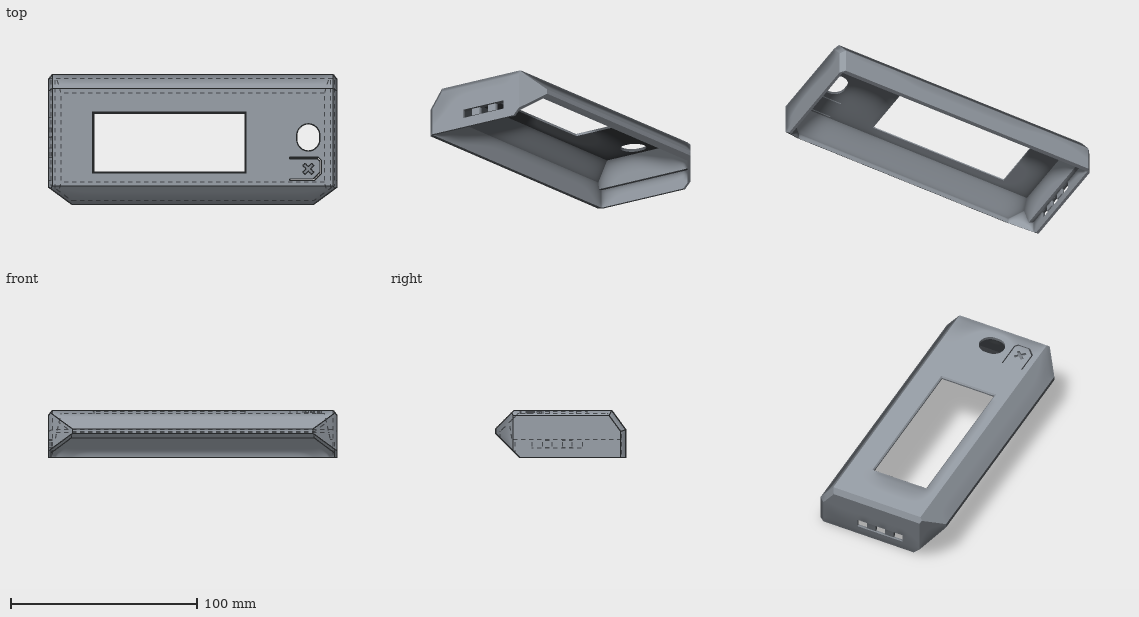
import cadquery as cq
import math

LENGTH = 155.0
DEPTH = 69.9
HEIGHT = 25.4

TOP_WALL = 1.5
END_WALL = 1.5
NOSE_WALL = 2.3

NOSE_UPPER_SLOPE = 9.9
NOSE_EDGE_HEIGHT = 2.5
NOSE_TOP_Z = HEIGHT - NOSE_UPPER_SLOPE
NOSE_LOW_Z = NOSE_TOP_Z - NOSE_EDGE_HEIGHT
BACK_SLOPE_RUN = 7.6
BACK_SLOPE_DROP = 10.4

NOSE_CORNER_X = 12.9
NOSE_CORNER_Y = 9.5
END_BEVEL_X = 2.2
END_BEVEL_INSET = 2.8
BEVEL_ANGLE = math.degrees(math.atan2(END_BEVEL_INSET, END_BEVEL_X))

CAVITY_CORNER_X = 10.8
CAVITY_CORNER_Y = 8.0
LEDGE_Z = 9.9
LEDGE_WIDTH = 2.2
LEAN_RUN = 3.1

MARGIN = 15.5

WINDOW_LENGTH = 81.0
WINDOW_DEPTH = 31.3
WINDOW_CENTER = (65.0, 33.3)
WINDOW_BEVEL = 0.7

CONTROL_X = 139.5
OPENING_Y = 36.1
OPENING_WIDTH = 12.2
OPENING_DEPTH = 14.4

KEY_Y = 19.2
KEY_WIDTH = 11.6
KEY_ROOT_X = 129.6
KEY_TIP_X = 146.2
KEY_BACK_CORNER = 1.5
KEY_NOSE_CORNER = 3.7
SLIT_WIDTH = 0.6

CROSS_SPAN = 6.7
CROSS_ARM_WIDTH = 1.7
CROSS_DEPTH = 1.1

PORT_Y = 33.2
PORT_Z = 7.5
PORT_WIDTH = 27.1
PORT_HEIGHT = 4.6
BLOCK_COUNT = 2
BLOCK_WIDTH = 5.1
BLOCK_CLEARANCE = 0.5
BLOCK_RECESS = 0.5
BLOCK_THICKNESS = END_WALL
BLOCK_PITCH = (PORT_WIDTH + BLOCK_WIDTH) / (BLOCK_COUNT + 1)


def end_profile(nose_points, back_y=DEPTH, top_z=HEIGHT):
    """Side profile from the nose over the top to the back, as a YZ sketch at X = 0."""
    back_points = [
        (back_y - BACK_SLOPE_RUN, top_z),
        (back_y, top_z - BACK_SLOPE_DROP),
        (back_y, -MARGIN),
    ]
    return cq.Workplane("YZ").polyline(nose_points + back_points).close()


def side_prism(nose_inset=0, top_inset=0):
    """Full-length prism of the side profile; the back moves in as far as the nose does."""
    top_z = HEIGHT - top_inset
    nose = [
        (nose_inset, -MARGIN),
        (nose_inset, top_z - NOSE_UPPER_SLOPE),
        (nose_inset + NOSE_UPPER_SLOPE, top_z),
    ]
    return end_profile(nose, DEPTH - nose_inset, top_z).extrude(LENGTH)


def plan_prism(corner_x, corner_y, end_inset=0, nose_inset=0):
    """Outline seen from above, with both nose corners cut off."""
    left = end_inset
    right = LENGTH - end_inset
    front = nose_inset
    return (
        cq.Workplane("XY", origin=(0, 0, -MARGIN))
        .moveTo(left, DEPTH)
        .lineTo(left, front + corner_y)
        .lineTo(left + corner_x, front)
        .lineTo(right - corner_x, front)
        .lineTo(right, front + corner_y)
        .lineTo(right, DEPTH)
        .close()
        .extrude(MARGIN + HEIGHT)
    )


def bevelled_block():
    """Block with the top, back slope and back bevelled at both ends, and an oversize nose."""
    nose = [(-MARGIN, -MARGIN), (-MARGIN, HEIGHT)]
    half_length = LENGTH / 2
    straight = end_profile(nose).extrude(half_length - END_BEVEL_X)
    cap = end_profile(nose).extrude(END_BEVEL_X, taper=BEVEL_ANGLE)
    half = straight.union(cap.translate((half_length - END_BEVEL_X, 0, 0)))
    return half.union(half.mirror("YZ")).translate((half_length, 0, 0))


def leaning_ends_prism():
    """Lengthwise section of the cavity, stepped in at the ledges and narrowing toward the top wall."""
    top_z = HEIGHT - TOP_WALL
    left = END_WALL
    right = LENGTH - END_WALL
    left_ledge = left + LEDGE_WIDTH
    right_ledge = right - LEDGE_WIDTH
    return (
        cq.Workplane("XZ")
        .moveTo(left, -MARGIN)
        .lineTo(left, LEDGE_Z)
        .lineTo(left_ledge, LEDGE_Z)
        .lineTo(left_ledge + LEAN_RUN, top_z)
        .lineTo(right_ledge - LEAN_RUN, top_z)
        .lineTo(right_ledge, LEDGE_Z)
        .lineTo(right, LEDGE_Z)
        .lineTo(right, -MARGIN)
        .close()
        .extrude(-DEPTH)
    )


def underside_trim():
    """Everything below the slanted underside of the nose and below the base plane."""
    return (
        cq.Workplane("YZ", origin=(-MARGIN, 0, 0))
        .moveTo(-MARGIN, NOSE_LOW_Z + MARGIN)
        .lineTo(NOSE_LOW_Z, 0)
        .lineTo(DEPTH + MARGIN, 0)
        .lineTo(DEPTH + MARGIN, -2 * MARGIN)
        .lineTo(-MARGIN, -2 * MARGIN)
        .close()
        .extrude(LENGTH + 2 * MARGIN)
    )


def shell_body():
    outer = side_prism().intersect(plan_prism(NOSE_CORNER_X, NOSE_CORNER_Y)).intersect(bevelled_block())
    cavity = (
        side_prism(NOSE_WALL, TOP_WALL)
        .intersect(plan_prism(CAVITY_CORNER_X, CAVITY_CORNER_Y, END_WALL, NOSE_WALL))
        .intersect(leaning_ends_prism())
    )
    return outer.cut(cavity).cut(underside_trim())


def top_plane(x, y):
    return cq.Workplane("XY", origin=(x, y, HEIGHT))


def window_cut():
    opening = top_plane(*WINDOW_CENTER).rect(WINDOW_LENGTH, WINDOW_DEPTH).extrude(-2 * TOP_WALL)
    rim = (
        top_plane(*WINDOW_CENTER)
        .rect(WINDOW_LENGTH + 2 * WINDOW_BEVEL, WINDOW_DEPTH + 2 * WINDOW_BEVEL)
        .extrude(-WINDOW_BEVEL, taper=45)
    )
    return opening.union(rim)


def control_opening_cut():
    return top_plane(CONTROL_X, OPENING_Y).slot2D(OPENING_DEPTH, OPENING_WIDTH, 90).extrude(-2 * TOP_WALL)


def key_outline(inset):
    """Prism of the tongue outline through the top wall, its three free sides moved inward by inset."""
    tip = KEY_TIP_X - inset
    back = KEY_Y + KEY_WIDTH / 2 - inset
    front = KEY_Y - KEY_WIDTH / 2 + inset
    return (
        top_plane(0, 0)
        .moveTo(KEY_ROOT_X, back)
        .lineTo(tip - KEY_BACK_CORNER, back)
        .lineTo(tip, back - KEY_BACK_CORNER)
        .lineTo(tip, front + KEY_NOSE_CORNER)
        .lineTo(tip - KEY_NOSE_CORNER, front)
        .lineTo(KEY_ROOT_X, front)
        .close()
        .extrude(-2 * TOP_WALL)
    )


def key_slit_cut():
    return key_outline(-SLIT_WIDTH / 2).cut(key_outline(SLIT_WIDTH / 2))


def cross_cut():
    plane = top_plane(CONTROL_X, KEY_Y).transformed(rotate=(0, 0, 45))
    arm = plane.rect(CROSS_SPAN, CROSS_ARM_WIDTH).extrude(-CROSS_DEPTH)
    return arm.union(plane.rect(CROSS_ARM_WIDTH, CROSS_SPAN).extrude(-CROSS_DEPTH))


def port_cut():
    return cq.Workplane("YZ", origin=(0, PORT_Y, PORT_Z)).rect(PORT_WIDTH, PORT_HEIGHT).extrude(2 * END_WALL)


def make_housing():
    housing = shell_body()
    for cutter in (window_cut(), control_opening_cut(), key_slit_cut(), cross_cut(), port_cut()):
        housing = housing.cut(cutter)
    return housing


def make_port_block(index):
    y = PORT_Y + (index - (BLOCK_COUNT - 1) / 2) * BLOCK_PITCH
    return (
        cq.Workplane("YZ", origin=(BLOCK_RECESS, y, PORT_Z))
        .rect(BLOCK_WIDTH, PORT_HEIGHT - 2 * BLOCK_CLEARANCE)
        .extrude(BLOCK_THICKNESS)
    )


housing = make_housing()
port_blocks = [make_port_block(index) for index in range(BLOCK_COUNT)]

result = cq.Compound.makeCompound([housing.solids().val(), *[block.val() for block in port_blocks]])